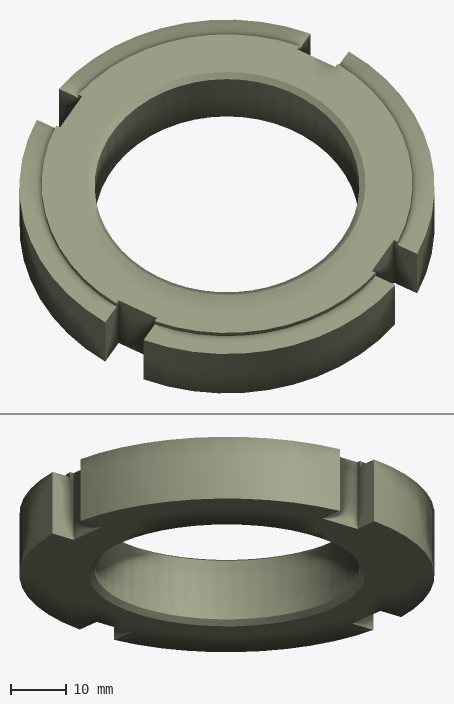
import cadquery as cq
import math

overall_width = 74.6
height = 13.0
rim_height = 12.0

slot_count = 4
slot_width = 8.0
slot_floor_distance = 32.45

outer_radius = math.hypot(overall_width / 2, slot_width / 2)

face_radius = 67.0 / 2
bore_radius = 47.8 / 2

top_chamfer_width = 1.1
top_chamfer_angle = 30
top_chamfer_depth = top_chamfer_width * math.tan(math.radians(top_chamfer_angle))
bottom_chamfer = 1.0


def make_ring():
    """Round nut body with a low raised face and a bore chamfered at both ends."""
    half_section = [
        (bore_radius + bottom_chamfer, 0),
        (outer_radius, 0),
        (outer_radius, rim_height),
        (face_radius, rim_height),
        (face_radius, height),
        (bore_radius + top_chamfer_width, height),
        (bore_radius, height - top_chamfer_depth),
        (bore_radius, bottom_chamfer),
    ]
    return cq.Workplane("XZ").polyline(half_section).close().revolve(360, (0, 0), (0, 1))


def make_slots():
    """Cutters for the spanner slots, from the slot floor out past the rim."""
    slot_length = outer_radius - slot_floor_distance
    return (
        cq.Workplane("XY")
        .polarArray(slot_floor_distance + slot_length / 2, 0, 360, slot_count)
        .rect(slot_length, slot_width)
        .extrude(height)
    )


result = make_ring().cut(make_slots())